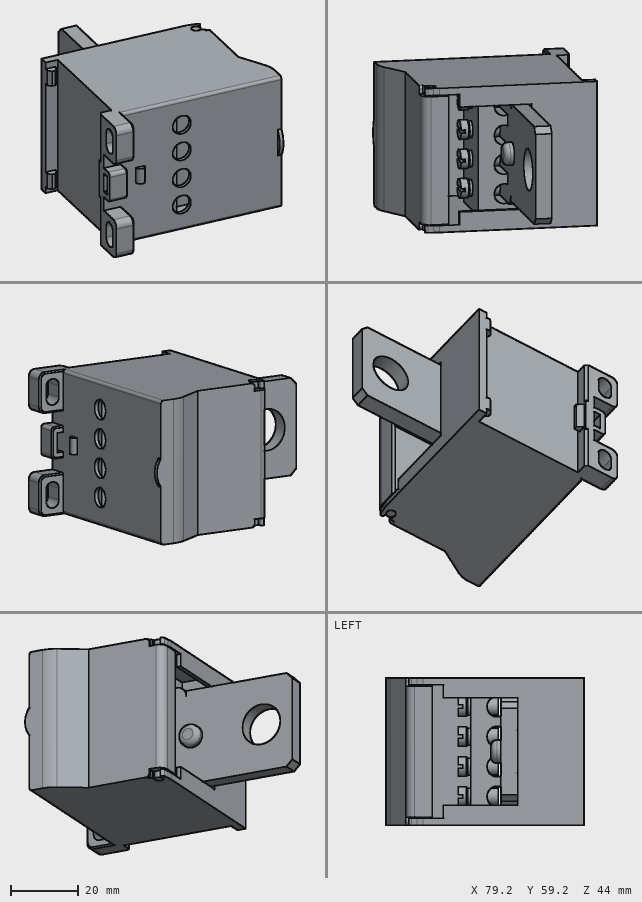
import cadquery as cq
import math


length = 42.05
depth = 44.0
half_depth = depth / 2
total_height = 59.2
front_height = 53.2
base_y = 4.0
corner_radius = 2.5
ramp_start_x = 25.0
ramp_angle = 30.0
crown_radius = 8.7
shell = 1.3
side_wall = 2.1
cavity_half_depth = half_depth - side_wall
back_edge_radius = 0.95

tongue_overhang = 28.7
tongue_half_width = 14.9
tongue_bottom = 19.9
tongue_thickness = 5.0
tongue_top = tongue_bottom + tongue_thickness
tongue_chamfer = 2.0
busbar_start_x = 7.1
busbar_half_width = 16.4
busbar_corner_radius = 3.0
tongue_hole_diameter = 12.7
tongue_hole_x = -18.2

window_half_depth = 16.0
window_step_y = 42.0
lid_lip_bottom = 45.3
lid_gap = 0.3
hinge_radius = 1.4
hinge_x = 3.1
hinge_y = 50.0
hinge_pin_recess = 0.1
hinge_mouth_end = 4.75
hinge_rib_bottom = 50.6

block_start_x = 11.1
block_end_x = 31.7
block_top = 33.9
pole_count = 4
pole_pitch = 8.95
cable_hole_radius = 3.0
cable_hole_y = 26.0
screw_x = (block_start_x + block_end_x) / 2
screw_shank_radius = 2.5
screw_shank_bottom = 25.6
screw_head_radius = 2.9
screw_neck_height = 0.9
screw_cone_height = screw_head_radius - screw_shank_radius
screw_top = 37.55
screw_slot_width = 0.95
screw_slot_depth = 1.3

button_x = 5.15
button_radius = 3.5
button_height = 2.9
button_rounding = 1.75

front_foot_length = 2.85
nose_reach = 2.2
nose_inner_z = 14.9
nose_outer_z = 19.9
nose_height = 3.2
nose_chamfer = 1.0

back_foot_x = 39.0
back_foot_height = 6.0
foot_edge_chamfer = 0.5
foot_toe_length = 0.95
foot_toe_height = 0.7
toe_inner_z = 6.1
lug_end_x = 50.5
lug_inner_z = 9.4
lug_corner_radius = 2.1
slot_x = 45.9
slot_z = (half_depth + lug_inner_z) / 2
slot_length = 8.0
slot_width = 4.5
tab_end_x = 46.1
tab_half_width = 4.9
tab_corner_radius = 1.2
tab_hole_length = 2.1
tab_hole_half_width = 3.0
clip_tip_x = 37.0
clip_top = 3.2
clip_tip_y = 2.1

latch_reach = 1.4
bump_y = 12.1
bump_half_width = 2.5
grip_half_width = 4.35
grip_thickness = 1.3


def box(x0, x1, y0, y1, z0, z1):
    return cq.Workplane("XY").box(x1 - x0, y1 - y0, z1 - z0, centered=False).translate((x0, y0, z0))


def both_sides(solid):
    """The solid together with its mirror image across the mid-plane."""
    return solid.union(solid.mirror("XY"))


def extrude_z(outline, half_width):
    """Extrude an outline of the XY plane equally to both sides of the mid-plane."""
    return outline.extrude(half_width, both=True)


def extrude_y(outline, bottom, top):
    """Extrude an outline of the XZ plane upwards between two heights."""
    return outline.extrude(top - bottom).translate((0, bottom, 0))


def xz_plane():
    """Workplane on the mounting plane, facing up along Y; its second axis is -Z."""
    return cq.Workplane(cq.Plane((0, 0, 0), (1, 0, 0), (0, 1, 0)))


def housing_outline(inset, bottom):
    """Side profile of the housing, moved inwards by the inset along roof and walls."""
    angle = math.radians(ramp_angle)
    roof_y = front_height - inset
    crown_y = total_height - inset
    corner = corner_radius - inset
    crown = crown_radius - inset
    foot_x = ramp_start_x + inset * math.tan(angle / 2)
    ramp_end_y = crown_y - crown * (1 - math.cos(angle))
    ramp_end_x = foot_x + (ramp_end_y - roof_y) / math.tan(angle)
    crown_x = ramp_end_x + crown * math.sin(angle)
    crown_mid = (crown_x - crown * math.sin(angle / 2), crown_y - crown * (1 - math.cos(angle / 2)))
    corner_mid = (inset + corner * (1 - math.sqrt(0.5)), roof_y - corner * (1 - math.sqrt(0.5)))
    return (
        cq.Workplane("XY")
        .moveTo(inset, bottom)
        .lineTo(inset, roof_y - corner)
        .threePointArc(corner_mid, (inset + corner, roof_y))
        .lineTo(foot_x, roof_y)
        .lineTo(ramp_end_x, ramp_end_y)
        .threePointArc(crown_mid, (crown_x, crown_y))
        .lineTo(length - inset, crown_y)
        .lineTo(length - inset, bottom)
        .close()
    )


def make_housing():
    body = extrude_z(housing_outline(0, base_y), half_depth)
    body = body.edges("|Y and >X").fillet(back_edge_radius)
    cavity = extrude_z(housing_outline(shell, tongue_bottom), cavity_half_depth)
    window = box(0, shell, tongue_bottom, window_step_y, -window_half_depth, window_half_depth)
    upper_window = box(0, shell, window_step_y, lid_lip_bottom, -cavity_half_depth, cavity_half_depth)
    return body.cut(cavity).cut(window).cut(upper_window)


def make_hinge_cuts():
    """Snap-in mouths above the hinge pins and the slits beside the lid."""
    mouth_left = 1.8
    mouth_right = 4.35
    horn_tip_y = 52.3
    ledge_y = 52.1
    rounding = 0.95
    horn_inset = 0.5
    horn_base_y = 48.2
    top = front_height
    mouth = (
        cq.Workplane("XY")
        .moveTo(0, horn_base_y)
        .lineTo(horn_inset / 2, hinge_y)
        .lineTo(horn_inset, ledge_y - horn_inset)
        .threePointArc(((horn_inset + mouth_left) / 2, horn_tip_y), (mouth_left, ledge_y - horn_inset))
        .lineTo(mouth_left, hinge_y)
        .lineTo(mouth_right, hinge_y)
        .lineTo(mouth_right, ledge_y - horn_inset)
        .lineTo(hinge_mouth_end, ledge_y)
        .lineTo(hinge_mouth_end, top)
        .lineTo(0, top)
        .close()
        .extrude(side_wall)
        .translate((0, 0, cavity_half_depth))
    )
    pin = (
        cq.Workplane("XY", origin=(hinge_x, hinge_y, cavity_half_depth))
        .circle(hinge_radius)
        .extrude(side_wall)
    )
    rounded_corner = box(
        hinge_mouth_end, hinge_mouth_end + rounding, ledge_y, top, half_depth - rounding, half_depth
    ).cut(
        cq.Workplane("XZ", origin=(hinge_mouth_end + rounding, top, half_depth - rounding))
        .circle(rounding)
        .extrude(top - ledge_y)
    )
    slit = box(0, hinge_mouth_end, lid_lip_bottom, top, cavity_half_depth - lid_gap, cavity_half_depth)
    pin_recess = pin.translate((0, 0, side_wall - hinge_pin_recess))
    return both_sides(mouth.cut(pin).union(rounded_corner).union(pin_recess).union(slit))


def make_hinge_rib():
    """Rib thickening the underside of the lid between the hinge mouths."""
    half_width = cavity_half_depth - lid_gap
    return box(shell, hinge_mouth_end, hinge_rib_bottom, front_height - shell, -half_width, half_width)


def make_tongue():
    """Tongue widening inside the housing into the busbar below the cables."""
    tongue = box(
        -tongue_overhang, busbar_start_x, tongue_bottom, tongue_top, -tongue_half_width, tongue_half_width
    )
    tongue = tongue.edges("|Y and <X").chamfer(tongue_chamfer)
    busbar = box(
        busbar_start_x, length - shell, tongue_bottom, tongue_top, -busbar_half_width, busbar_half_width
    )
    tongue = tongue.union(busbar.edges("|Y and <X").fillet(busbar_corner_radius))
    hole = xz_plane().center(tongue_hole_x, 0).circle(tongue_hole_diameter / 2)
    return tongue.cut(extrude_y(hole, tongue_bottom, tongue_top))


def make_button_screw():
    outline = xz_plane().center(button_x, 0).circle(button_radius)
    button = extrude_y(outline, tongue_top, tongue_top + button_height)
    return button.faces(">Y").edges().fillet(button_rounding)


def pole_positions():
    first = -pole_pitch * (pole_count - 1) / 2
    return [first + pole_pitch * i for i in range(pole_count)]


def make_block():
    return box(
        block_start_x, block_end_x, tongue_bottom, block_top, -cavity_half_depth, cavity_half_depth
    )


def make_cable_hole(z):
    """Cable passage through the terminal block and out of the back wall."""
    return (
        cq.Workplane("YZ", origin=(block_start_x, cable_hole_y, z))
        .circle(cable_hole_radius)
        .extrude(length - block_start_x)
    )


def make_clamp_screw(z):
    cone_bottom = block_top + screw_neck_height
    screw = (
        cq.Workplane("XY")
        .moveTo(0, screw_shank_bottom)
        .lineTo(screw_shank_radius, screw_shank_bottom)
        .lineTo(screw_shank_radius, cone_bottom)
        .lineTo(screw_head_radius, cone_bottom + screw_cone_height)
        .lineTo(screw_head_radius, screw_top)
        .lineTo(0, screw_top)
        .close()
        .revolve(360, (0, 0, 0), (0, 1, 0))
    )
    slot = box(
        -screw_head_radius, screw_head_radius,
        screw_top - screw_slot_depth, screw_top,
        -screw_slot_width / 2, screw_slot_width / 2,
    )
    return screw.cut(slot).translate((screw_x, 0, z))


def make_front_foot():
    foot = box(0, front_foot_length, 0, base_y, -half_depth, half_depth)
    nose = box(
        front_foot_length, front_foot_length + nose_reach, 0, nose_height, nose_inner_z, nose_outer_z
    )
    nose = nose.edges("|Z and >X").chamfer(nose_chamfer)
    return foot.union(both_sides(nose))


def make_back_foot():
    foot = box(back_foot_x, length, 0, back_foot_height, -half_depth, half_depth)
    lug = box(length, lug_end_x, 0, back_foot_height, lug_inner_z, half_depth)
    lug = lug.edges("|Y and >X").fillet(lug_corner_radius)
    foot = foot.union(both_sides(lug))
    tab = box(length, tab_end_x, 0, back_foot_height, -tab_half_width, tab_half_width)
    tab = tab.edges("|Y and >X").fillet(tab_corner_radius)
    foot = foot.union(tab)
    foot = foot.faces(">Y").edges("not <X").chamfer(foot_edge_chamfer)

    slots = xz_plane().pushPoints([(slot_x, slot_z), (slot_x, -slot_z)]).slot2D(slot_length, slot_width, 90)
    foot = foot.cut(extrude_y(slots, 0, back_foot_height))
    foot = foot.cut(
        box(
            length, length + tab_hole_length,
            0, back_foot_height,
            -tab_hole_half_width, tab_hole_half_width,
        )
    )
    toe = (
        cq.Workplane("XY", origin=(back_foot_x, 0, toe_inner_z))
        .polyline([(0, 0), (foot_toe_length, 0), (0, foot_toe_height)])
        .close()
        .extrude(half_depth - toe_inner_z)
    )
    return foot.cut(both_sides(toe))


def make_spring_clip():
    outline = cq.Workplane("XY").polyline(
        [
            (back_foot_x, clip_top),
            (clip_tip_x, clip_top),
            (clip_tip_x, clip_tip_y),
            (back_foot_x, foot_toe_height),
        ]
    )
    return extrude_z(outline.close(), tab_half_width)


def make_latch():
    """Snap bump low on the back face and a bowed finger grip at its top edge."""
    bump = extrude_z(cq.Workplane("XY", origin=(length, bump_y, 0)).circle(latch_reach), bump_half_width)
    bump = bump.intersect(
        box(
            length - shell, length + latch_reach,
            bump_y - latch_reach, bump_y + latch_reach,
            -bump_half_width, bump_half_width,
        )
    )
    grip = (
        xz_plane()
        .moveTo(length, -grip_half_width)
        .threePointArc((length + latch_reach, 0), (length, grip_half_width))
        .close()
    )
    return bump.union(extrude_y(grip, total_height - grip_thickness, total_height))


housing = make_housing().cut(make_hinge_cuts()).union(make_block())
for pole_z in pole_positions():
    housing = housing.cut(make_cable_hole(pole_z)).union(make_clamp_screw(pole_z))

result = (
    housing.union(make_hinge_rib())
    .union(make_tongue())
    .union(make_button_screw())
    .union(make_front_foot())
    .union(make_back_foot())
    .union(make_spring_clip())
    .union(make_latch())
)